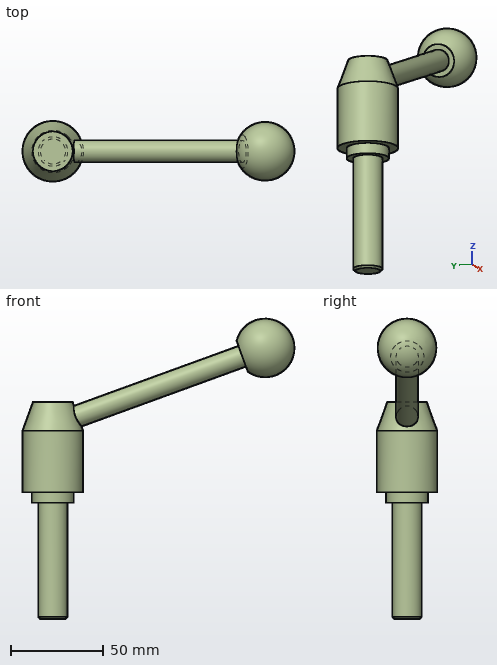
import cadquery as cq
import math

stud_diameter = 16.0
stud_length = 63.0
stud_chamfer = 1.2
collar_diameter = 23.0
collar_height = 5.7

hub_diameter = 33.0
hub_straight_height = 33.3
hub_top_diameter = 21.5
cone_height = 15.75

overall_length = 147.58
overall_height = 162.95
arm_diameter = 12.0
arm_angle = 20.0
ball_diameter = 32.0
ball_flat_diameter = 18.0

collar_bottom = stud_length
hub_bottom = collar_bottom + collar_height
cone_bottom = hub_bottom + hub_straight_height
hub_top = cone_bottom + cone_height

ball_radius = ball_diameter / 2
ball_center_x = overall_length - hub_diameter / 2 - ball_radius
ball_center_z = overall_height - ball_radius

arm_length = ball_center_x / math.cos(math.radians(arm_angle))
arm_start_z = ball_center_z - ball_center_x * math.tan(math.radians(arm_angle))
flat_offset = math.sqrt(ball_radius**2 - (ball_flat_diameter / 2) ** 2)


def arm_plane():
    """Plane at the foot of the arm whose normal points along the arm."""
    angle = math.radians(arm_angle)
    return cq.Plane(
        origin=(0, 0, arm_start_z),
        xDir=(0, 1, 0),
        normal=(math.cos(angle), 0, math.sin(angle)),
    )


def make_stud_and_hub():
    """Stud, collar and hub turned about the Z axis."""
    stud_radius = stud_diameter / 2
    collar_radius = collar_diameter / 2
    hub_radius = hub_diameter / 2
    return (
        cq.Workplane("XZ")
        .moveTo(0, 0)
        .lineTo(stud_radius - stud_chamfer, 0)
        .lineTo(stud_radius, stud_chamfer)
        .lineTo(stud_radius, collar_bottom)
        .lineTo(collar_radius, collar_bottom)
        .lineTo(collar_radius, hub_bottom)
        .lineTo(hub_radius, hub_bottom)
        .lineTo(hub_radius, cone_bottom)
        .lineTo(hub_top_diameter / 2, hub_top)
        .lineTo(0, hub_top)
        .close()
        .revolve(360, (0, 0), (0, 1))
    )


def make_arm():
    """Round bar from the hub axis to the ball center."""
    return cq.Workplane(arm_plane()).circle(arm_diameter / 2).extrude(arm_length)


def make_ball():
    """Ball with a flat, square to the arm, where the arm enters."""
    ball = cq.Workplane(arm_plane()).workplane(offset=arm_length).sphere(ball_radius)
    cut_away = (
        cq.Workplane(arm_plane())
        .circle(ball_diameter)
        .extrude(arm_length - flat_offset)
    )
    return ball.cut(cut_away)


result = make_stud_and_hub().union(make_arm()).union(make_ball())